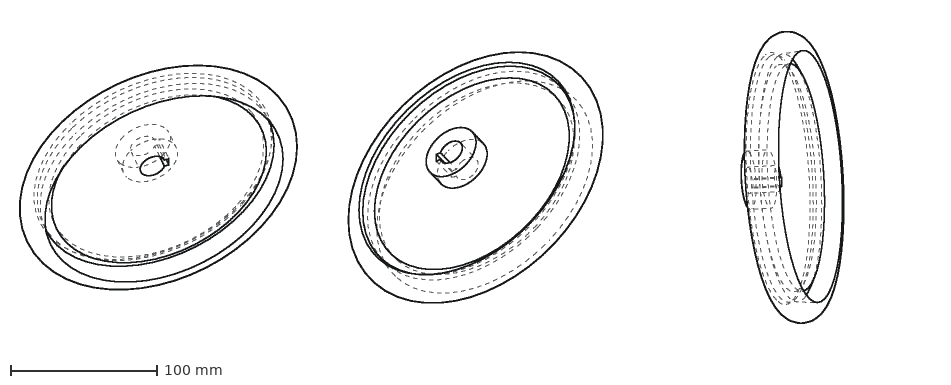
import cadquery as cq

wheel_diameter = 200.0
overall_depth = 44.0
rim_thickness = 23.4
hub_diameter = 40.0
hub_projection = 14.5
bore_diameter = 18.0
keyway_width = 6.0
keyway_reach = 11.8

web_thickness = 6.0
web_radius = 78.0
web_rise = 12.8
seat_radius = 85.0
seat_rise = 4.0
rim_inner_radius = 86.4

rim_radius = rim_thickness / 2
rim_center_radius = wheel_diameter / 2 - rim_radius
rim_center_x = overall_depth - rim_radius
hub_radius = hub_diameter / 2
web_edge_x = hub_projection + web_rise
seat_x = web_edge_x - seat_rise
rim_offset = rim_center_radius - rim_inner_radius
wall_top_x = rim_center_x - (rim_radius**2 - rim_offset**2) ** 0.5


def make_wheel():
    """Revolve the (X, radius) half section of hub, web and rim."""
    section = (
        cq.Workplane("XY")
        .moveTo(0, 0)
        .lineTo(0, hub_radius)
        .lineTo(hub_projection, hub_radius)
        .lineTo(web_edge_x, web_radius)
        .lineTo(seat_x, seat_radius)
        .lineTo(wall_top_x, rim_inner_radius)
        .threePointArc(
            (rim_center_x, wheel_diameter / 2),
            (2 * rim_center_x - wall_top_x, rim_inner_radius),
        )
        .lineTo(seat_x + web_thickness, seat_radius)
        .lineTo(web_edge_x + web_thickness, web_radius)
        .lineTo(hub_projection + web_thickness, hub_radius)
        .lineTo(hub_projection + web_thickness, 0)
        .close()
    )
    return section.revolve(360, (0, 0, 0), (1, 0, 0))


def make_keyed_bore():
    """Through bore with one keyway on the +Y side."""
    bore = cq.Workplane("YZ").circle(bore_diameter / 2).extrude(overall_depth)
    keyway = cq.Workplane("XY").box(
        overall_depth, keyway_reach, keyway_width, centered=(False, False, True)
    )
    return bore.union(keyway)


result = make_wheel().cut(make_keyed_bore())